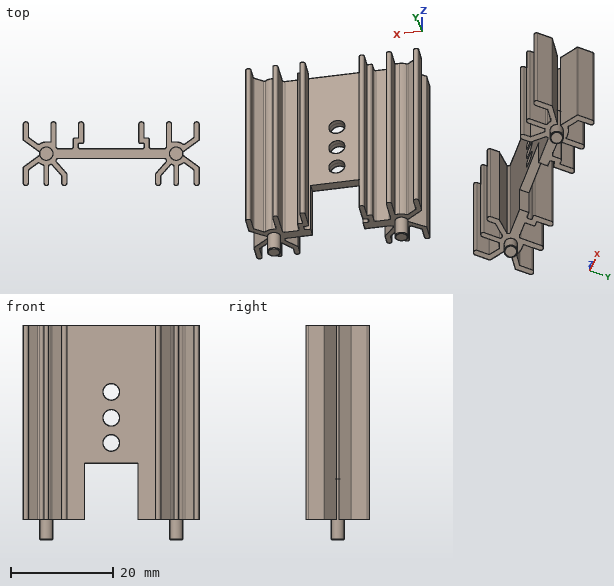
import cadquery as cq
import math

HALF_WIDTH = 34.5 / 2
HALF_DEPTH = 12.5 / 2
HEIGHT = 38.0
FIN_THICKNESS = 1.05

HUB_SPACING = 25.4
HUB_X = HUB_SPACING / 2
HUB_RADIUS = 2.3
HUB_INNER_X = 10.8
PIN_DIAMETER = 2.6
PIN_TOP = 8.0
PIN_BOTTOM = -4.0
PIN_CHAMFER = 0.15

WEB_THICKNESS = 1.95
WEB_HOLE_DIAMETER = 3.2
WEB_HOLE_HEIGHTS = (15.0, 19.9, 25.0)
NOTCH_WIDTH = 10.4
NOTCH_HEIGHT = 11.0

ARM_BEND_Y = 2.65
ARM_ANGLE = 36.0

LEG_INNER_X = 8.65
LEG_BEND_Y = -3.95
LEG_ANGLE = 48.5

THIN_FIN_THICKNESS = 0.92

STEP_FIN_X = 5.38
STEP_LOW_Y = 2.0
STEP_HIGH_Y = STEP_LOW_Y + FIN_THICKNESS

CORNER_RADIUS = 0.3
SMALL_RADIUS = 0.15
WEB_END_RADIUS = 0.4

ARM_ROOT_DIRECTION = 49
LEG_ROOT_DIRECTION = -116
THIN_ROOT_ANGLE = math.degrees(math.asin(THIN_FIN_THICKNESS / 2 / HUB_RADIUS))


def slope_of(angle):
    return math.tan(math.radians(angle))


def bend_offset(angle):
    """Y distance between the two corners of a fin that bends from angle to parallel with Y."""
    return FIN_THICKNESS * math.tan(math.radians(90 - angle) / 2)


def prism(points):
    """Full-height prism over a closed outline."""
    return cq.Workplane("XY").polyline(points).close().extrude(HEIGHT)


def straight_fin(inner_x, thickness, start_y, side):
    """Fin along Y with a fully rounded tip; side is +1 or -1 for its Y direction."""
    radius = thickness / 2
    outer_x = inner_x + thickness
    shoulder_y = side * (HALF_DEPTH - radius)
    outline = (
        cq.Workplane("XY")
        .moveTo(inner_x, start_y)
        .lineTo(inner_x, shoulder_y)
        .threePointArc((inner_x + radius, side * HALF_DEPTH), (outer_x, shoulder_y))
        .lineTo(outer_x, start_y)
        .close()
    )
    return outline.extrude(HEIGHT)


def round_corners(body, points, radius):
    """Round the vertical edge nearest to each XY point."""
    for x, y in points:
        nearest = cq.selectors.NearestToPointSelector((x, y, HEIGHT / 2))
        body = body.edges("|Z").edges(nearest).fillet(radius)
    return body


def outer_arm():
    """Upper outer arm: slants out of the hub, then turns parallel to Y."""
    slope = slope_of(ARM_ANGLE)
    inner_x = HALF_WIDTH - FIN_THICKNESS
    inner_bend_y = ARM_BEND_Y + bend_offset(ARM_ANGLE)
    slant = prism([
        (HALF_WIDTH, inner_bend_y),
        (inner_x, inner_bend_y),
        (HUB_X, inner_bend_y - slope * (inner_x - HUB_X)),
        (HUB_X, ARM_BEND_Y - slope * (HALF_WIDTH - HUB_X)),
        (HALF_WIDTH, ARM_BEND_Y),
    ])
    arm = slant.union(straight_fin(inner_x, FIN_THICKNESS, inner_bend_y, 1))
    bends = [(HALF_WIDTH, ARM_BEND_Y), (inner_x, inner_bend_y)]
    return round_corners(arm, bends, SMALL_RADIUS)


def hub_mouth():
    """Open wedge between the two outer arms."""
    tip_x = HALF_WIDTH - ARM_BEND_Y / slope_of(ARM_ANGLE)
    return prism([(tip_x, 0), (HALF_WIDTH, ARM_BEND_Y), (HALF_WIDTH, -ARM_BEND_Y)])


def inner_leg():
    """Lower leg: slants out of the hub, then turns parallel to Y."""
    slope = slope_of(LEG_ANGLE)
    outer_x = LEG_INNER_X + FIN_THICKNESS
    outer_bend_y = LEG_BEND_Y - bend_offset(LEG_ANGLE)
    slant = prism([
        (LEG_INNER_X, outer_bend_y),
        (LEG_INNER_X, LEG_BEND_Y),
        (HUB_INNER_X, LEG_BEND_Y + slope * (HUB_INNER_X - LEG_INNER_X)),
        (HUB_INNER_X, 0),
        (HUB_X, 0),
        (HUB_X, outer_bend_y + slope * (HUB_X - outer_x)),
        (outer_x, outer_bend_y),
    ])
    return slant.union(straight_fin(LEG_INNER_X, FIN_THICKNESS, outer_bend_y, -1))


def stepped_fin():
    """Fin on the web that steps sideways by its own thickness."""
    middle_x = STEP_FIN_X + FIN_THICKNESS
    foot_x = middle_x + FIN_THICKNESS
    foot = prism([
        (middle_x, 0),
        (foot_x, 0),
        (foot_x, STEP_HIGH_Y),
        (middle_x, STEP_HIGH_Y),
    ])
    fin = foot.union(straight_fin(STEP_FIN_X, FIN_THICKNESS, STEP_LOW_Y, 1))
    fin = round_corners(fin, [(STEP_FIN_X, STEP_LOW_Y), (foot_x, STEP_HIGH_Y)], CORNER_RADIUS)
    return round_corners(fin, [(middle_x, STEP_LOW_Y)], SMALL_RADIUS)


def half_web():
    """Right half of the web, reaching into the hub."""
    half_thickness = WEB_THICKNESS / 2
    return prism([
        (0, -half_thickness),
        (HUB_X, -half_thickness),
        (HUB_X, half_thickness),
        (0, half_thickness),
    ])


def hub():
    """Round hub, flat towards the web and filled square under the upper fin."""
    body = cq.Workplane("XY").center(HUB_X, 0).circle(HUB_RADIUS).extrude(HEIGHT)
    inner_side = prism([
        (0, -HUB_RADIUS),
        (HUB_INNER_X, -HUB_RADIUS),
        (HUB_INNER_X, HUB_RADIUS),
        (0, HUB_RADIUS),
    ])
    crown = prism([
        (HUB_INNER_X, 0),
        (HUB_X, 0),
        (HUB_X, HUB_RADIUS),
        (HUB_INNER_X, HUB_RADIUS),
    ])
    return body.cut(inner_side).union(crown)


def hub_point(direction):
    """Point on the hub circle, with the direction in degrees from the X axis."""
    angle = math.radians(direction)
    return HUB_X + HUB_RADIUS * math.cos(angle), HUB_RADIUS * math.sin(angle)


def half_profile():
    """Right half of the extrusion, before drilling."""
    arm = outer_arm()
    thin_fin_x = HUB_X - THIN_FIN_THICKNESS / 2
    body = hub().union(half_web()).union(stepped_fin())
    body = body.union(arm).union(arm.mirror("XZ")).union(inner_leg())
    body = body.union(straight_fin(HUB_INNER_X, FIN_THICKNESS, 0, 1))
    body = body.union(straight_fin(thin_fin_x, THIN_FIN_THICKNESS, 0, -1))
    body = body.cut(hub_mouth())

    web_y = WEB_THICKNESS / 2
    foot_corners = [
        (STEP_FIN_X + FIN_THICKNESS, web_y),
        (STEP_FIN_X + 2 * FIN_THICKNESS, web_y),
    ]
    body = round_corners(body, foot_corners, CORNER_RADIUS)
    thin_fin_roots = [hub_point(-90 - THIN_ROOT_ANGLE), hub_point(-90 + THIN_ROOT_ANGLE)]
    body = round_corners(body, thin_fin_roots, CORNER_RADIUS)
    body = round_corners(body, [hub_point(LEG_ROOT_DIRECTION)], SMALL_RADIUS)
    arm_roots = [hub_point(ARM_ROOT_DIRECTION), hub_point(-ARM_ROOT_DIRECTION)]
    body = round_corners(body, arm_roots, CORNER_RADIUS)
    web_ends = [(HUB_INNER_X, web_y), (HUB_INNER_X, -web_y)]
    return round_corners(body, web_ends, WEB_END_RADIUS)


def bore():
    return cq.Workplane("XY").center(HUB_X, 0).circle(PIN_DIAMETER / 2).extrude(HEIGHT)


def pin():
    """Pin pressed into the lower end of the hub bore."""
    body = cq.Workplane("XY", origin=(HUB_X, 0, PIN_BOTTOM)).circle(PIN_DIAMETER / 2)
    return body.extrude(PIN_TOP - PIN_BOTTOM).faces("<Z").chamfer(PIN_CHAMFER)


def web_holes():
    points = [(0, z) for z in WEB_HOLE_HEIGHTS]
    holes = cq.Workplane("XZ").pushPoints(points).circle(WEB_HOLE_DIAMETER / 2)
    return holes.extrude(WEB_THICKNESS, both=True)


def web_notch():
    return cq.Workplane("XY").box(
        NOTCH_WIDTH, 2 * WEB_THICKNESS, NOTCH_HEIGHT, centered=(True, True, False)
    )


half = half_profile().cut(bore()).union(pin())
result = half.union(half.mirror("YZ")).cut(web_holes()).cut(web_notch())